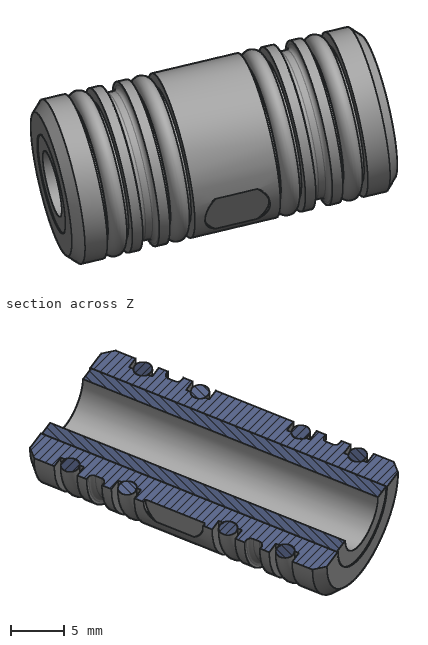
import cadquery as cq


housing_length = 31.75
housing_diameter = 15.875
end_chamfer = 1.0

sleeve_outer_diameter = 9.525
sleeve_bore_diameter = 6.35
sleeve_recess = 0.1
sleeve_length = housing_length - 2 * sleeve_recess

ring_inner_diameter = 12.42
ring_section_diameter = 1.778
ring_centre_radius = (ring_inner_diameter + ring_section_diameter) / 2

ring_groove_width = 2.44
ring_groove_floor_diameter = 13.34
shallow_groove_width = 1.62
shallow_groove_floor_diameter = 14.31
shallow_groove_fillet = 0.47
land_width = 1.02
groove_group_end_distance = 7.44
groove_cutter_overhang = 1.0

groove_group_y = housing_length / 2 - groove_group_end_distance
ring_offset = (shallow_groove_width + ring_groove_width) / 2 + land_width
groove_group_positions = [-groove_group_y, groove_group_y]
ring_positions = [y + side * ring_offset for y in groove_group_positions for side in (-1, 1)]

spot_face_diameter = 6.35
spot_face_depth = 0.38


def cylinder(diameter, length, centre_y=0):
    """Solid cylinder along Y, centred at centre_y."""
    return (
        cq.Workplane("XZ", origin=(0, centre_y + length / 2, 0))
        .circle(diameter / 2)
        .extrude(length)
    )


def groove_cutter(floor_diameter, width, centre_y):
    """Square-edged band that leaves a groove with the given floor diameter."""
    band = cylinder(housing_diameter + groove_cutter_overhang, width, centre_y)
    return band.cut(cylinder(floor_diameter, width, centre_y))


def shallow_groove_cutter(centre_y):
    """Groove band with its two floor corners rounded."""
    band = groove_cutter(shallow_groove_floor_diameter, shallow_groove_width, centre_y)
    floor_edges = cq.selectors.RadiusNthSelector(0)
    return band.edges(floor_edges).fillet(shallow_groove_fillet)


def make_o_ring(centre_y):
    """Full round-section ring around the Y axis."""
    return cq.Workplane(
        cq.Solid.makeTorus(
            ring_centre_radius,
            ring_section_diameter / 2,
            cq.Vector(0, centre_y, 0),
            cq.Vector(0, 1, 0),
        )
    )


def make_sleeve():
    """Plain tube inside the housing bore."""
    return cylinder(sleeve_outer_diameter, sleeve_length).cut(
        cylinder(sleeve_bore_diameter, sleeve_length)
    )


def make_housing(o_rings):
    """Chamfered, grooved tube with a seat in each ring groove that matches its ring."""
    body = cylinder(housing_diameter, housing_length).faces("<Y or >Y").chamfer(end_chamfer)
    body = body.cut(cylinder(sleeve_outer_diameter, housing_length))

    for y in groove_group_positions:
        body = body.cut(shallow_groove_cutter(y))
    for y in ring_positions:
        body = body.cut(groove_cutter(ring_groove_floor_diameter, ring_groove_width, y))
    for ring in o_rings:
        body = body.cut(ring)

    spot_face = (
        cq.Workplane("YZ", origin=(housing_diameter / 2 - spot_face_depth, 0, 0))
        .circle(spot_face_diameter / 2)
        .extrude(2 * spot_face_depth)
    )
    return body.cut(spot_face)


o_rings = [make_o_ring(y) for y in ring_positions]
sleeve = make_sleeve()
housing = make_housing(o_rings)

result = cq.Compound.makeCompound(
    [housing.val(), sleeve.val(), *[ring.val() for ring in o_rings]]
)